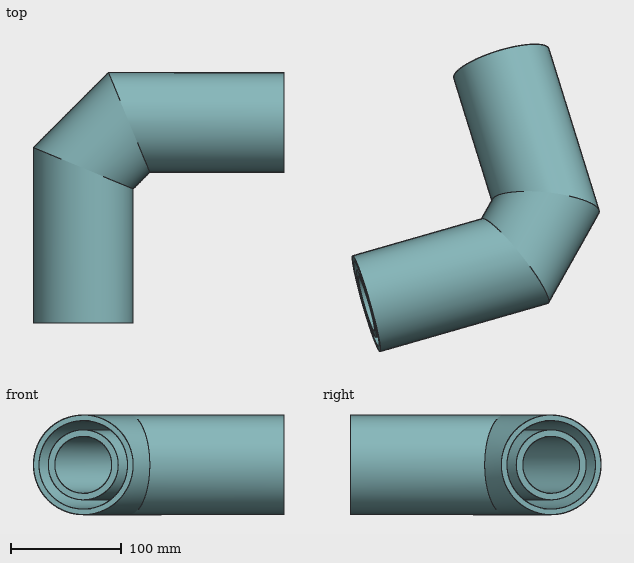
import cadquery as cq

OVERALL_LENGTH = 226.0
CASING_OUTER_DIA = 90.0
CASING_INNER_DIA = 79.8
PIPE_OUTER_DIA = 63.0
PIPE_INNER_DIA = 51.3
MITRE_SETBACK = 41.3

LEG_LENGTH = OVERALL_LENGTH - CASING_OUTER_DIA / 2


def elbow_path():
    """Centreline: a leg along Y and a leg along X, joined by a 45 degree segment."""
    return (
        cq.Workplane("XY")
        .moveTo(0, -LEG_LENGTH)
        .lineTo(0, -MITRE_SETBACK)
        .lineTo(MITRE_SETBACK, 0)
        .lineTo(LEG_LENGTH, 0)
    )


def elbow_rod(diameter):
    """Solid round bar along the centreline, with sharp mitred bends."""
    return (
        cq.Workplane("XZ", origin=(0, -LEG_LENGTH, 0))
        .circle(diameter / 2)
        .sweep(elbow_path(), transition="right")
    )


def elbow_tube(outer_dia, inner_dia):
    """Mitred tube, open at both ends."""
    return elbow_rod(outer_dia).cut(elbow_rod(inner_dia))


casing = elbow_tube(CASING_OUTER_DIA, CASING_INNER_DIA)
carrier_pipe = elbow_tube(PIPE_OUTER_DIA, PIPE_INNER_DIA)

result = cq.Compound.makeCompound([casing.val(), carrier_pipe.val()])